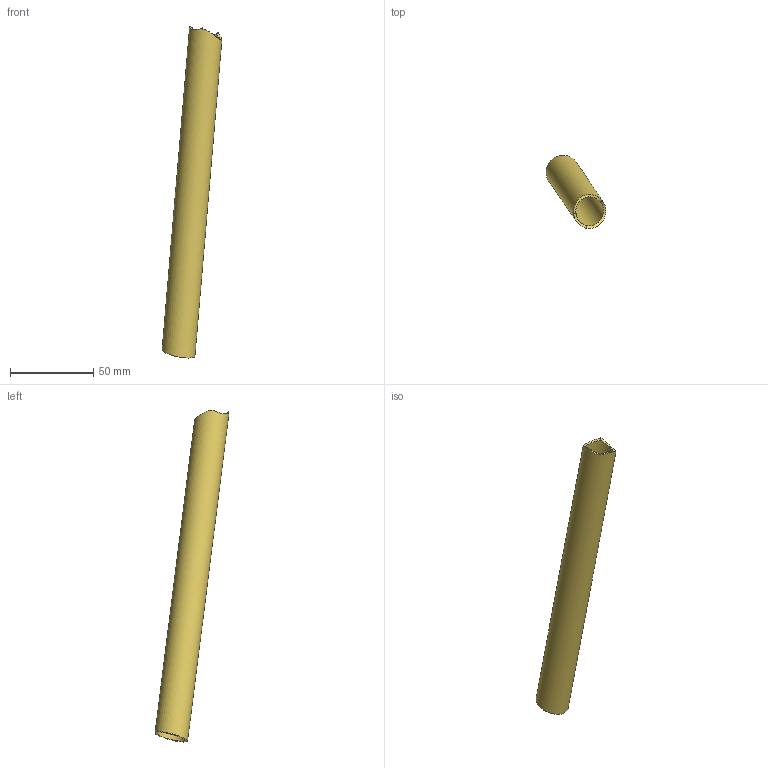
import cadquery as cq
import math

OUTER_RADIUS = 10.0
WALL = 1.5
INNER_RADIUS = OUTER_RADIUS - WALL
JOINT_HEIGHT = 204.6

FOOT_SLOPE_ANGLE = 9.1
FOOT_UPHILL_AZIMUTH = 130.5

MEMBER_LENGTH = 5 * OUTER_RADIUS
MEMBERS = [
    (10.2, 215.9, 105.2),
    (12.0, -7.8, 83.1),
    (12.0, 90.2, 85.1),
]

LEAN_X = 0.085
LEAN_Y = -0.1263

OVERRUN = 3 * OUTER_RADIUS


def direction(azimuth, angle_from_up):
    """Unit vector at an azimuth about Z and an angle from +Z, both in degrees."""
    turn = math.radians(azimuth)
    tilt = math.radians(angle_from_up)
    return cq.Vector(
        math.sin(tilt) * math.cos(turn),
        math.sin(tilt) * math.sin(turn),
        math.cos(tilt),
    )


def cylinder_along(origin, axis, radius, length):
    """Solid cylinder that starts at origin and runs along axis."""
    return cq.Workplane(cq.Solid.makeCylinder(radius, length, origin, axis))


def stock_tube():
    """Plain tube, long enough to be trimmed at both ends."""
    start = cq.Vector(0, 0, -OVERRUN)
    length = JOINT_HEIGHT + OVERRUN
    up = cq.Vector(0, 0, 1)
    outside = cylinder_along(start, up, OUTER_RADIUS, length)
    bore = cylinder_along(start, up, INNER_RADIUS, length)
    return outside.cut(bore)


def foot_cutter():
    """Wide disc whose flat top is the slanted foot plane."""
    foot_normal = direction(FOOT_UPHILL_AZIMUTH + 180, FOOT_SLOPE_ANGLE)
    return cylinder_along(cq.Vector(0, 0, 0), -foot_normal, OVERRUN, 2 * OVERRUN)


def member_cutter(radius, azimuth, angle_from_tube):
    """Round member that leaves the joint and copes the tube head."""
    joint = cq.Vector(0, 0, JOINT_HEIGHT)
    axis = direction(azimuth, 180 - angle_from_tube)
    return cylinder_along(joint, axis, radius, MEMBER_LENGTH)


def lean(upright):
    """Tip the upright tube onto its leaning axis."""
    leaning_plane = cq.Plane(
        origin=(0, 0, 0),
        xDir=(1, 0, -LEAN_X),
        normal=(LEAN_X, LEAN_Y, 1),
    )
    return cq.Workplane(upright.val().moved(leaning_plane.location))


tube = stock_tube().cut(foot_cutter())
for member in MEMBERS:
    tube = tube.cut(member_cutter(*member))

result = lean(tube)